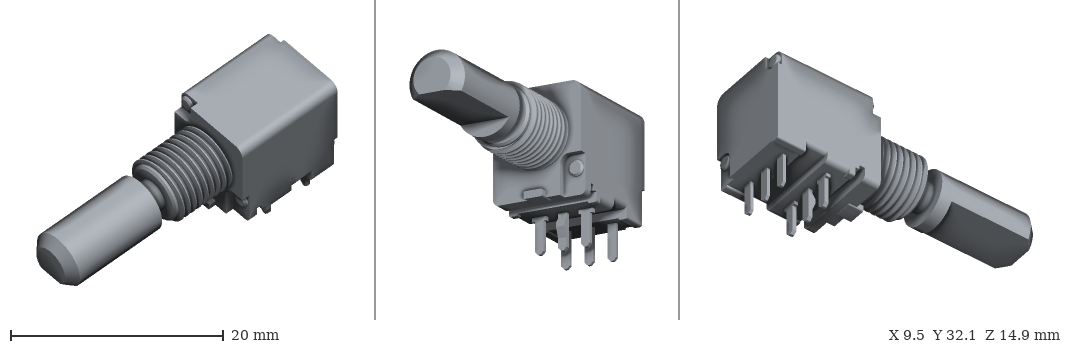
import cadquery as cq
import math


total_length = 32.1

body_width = 9.5
half_width = body_width / 2
body_top = 4.85
body_depth = 12.1
top_radius = 1.0

main_bottom = -6.3
leg_bottom = -6.5
channel_bottom = -5.5
slot_bottom = -4.98
main_radius = 0.6
channel_radius = 0.5
slot_front = 1.85
slot_back = 2.5
front_leg_start = 3.0
front_leg_end = 3.65
channel_start = 6.25
channel_end = 8.8

leg_width = 0.95
leg_radius = 0.22

rivet_x = 3.8
rivet_z = 3.65
rivet_radius = 0.8
rivet_chamfer = 0.2
rivet_height = 0.35
front_pocket_reach = 2.47
front_pocket_low = 2.28
front_pocket_depth = 0.9
rear_pocket_reach = 2.75
rear_pocket_low = 2.8
rear_pocket_depth = 0.45
pocket_radius = 1.0

tab_width = 2.05
tab_top = -5.62
tab_bottom = -6.4
tab_front = -0.8
tab_back = 0.9
tab_radius = 0.2

bushing_radius = 3.02
bushing_length = 7.0
bushing_chamfer = 0.22
thread_length = 6.52
thread_radius = 3.5
thread_pitch = 0.75
thread_start = 0.15
spare_turns = 2
crest_width = 0.13
root_width = 0.65
root_overlap = 0.05

neck_radius = 1.67
shaft_radius = 3.0
shaft_start = 8.57
shaft_tip = total_length - body_depth
shaft_chamfer = 1.0
collar_end = 9.95
flat_z = -1.48

pin_spacing = 2.5
pin_width = 0.93
pin_bottom = -10.0
pin_root = -4.8
pin_tip_chamfer = 0.32
front_row_y = 5.05
front_row_thickness = 0.45
rear_row_y = 10.0
rear_row_thickness = 0.35
shoulder_width = 1.5
shoulder_bottom = -6.7
bump_height = 0.4
bump_top = -6.75
bump_crest_top = -7.32
bump_crest_bottom = -7.7
bump_bottom = -8.75


def span_box(x_span, y_span, z_span):
    """Box between two limits on each axis."""
    size = [abs(span[1] - span[0]) for span in (x_span, y_span, z_span)]
    low = [min(span) for span in (x_span, y_span, z_span)]
    return cq.Workplane("XY").box(*size, centered=False).translate(tuple(low))


def cylinder(radius, y_start, y_end):
    """Round bar on the shaft axis; distances are measured forwards, along -Y."""
    return cq.Workplane("XZ", origin=(0, -y_start, 0)).circle(radius).extrude(y_end - y_start)


def body_slice(y_front, y_back, bottom, bottom_radius=None):
    """Full-width stretch of the housing with rounded top edges."""
    slice_ = span_box((-half_width, half_width), (y_front, y_back), (bottom, body_top))
    slice_ = slice_.edges("|Y and >Z").fillet(top_radius)
    if bottom_radius:
        slice_ = slice_.edges("|Y and <Z").fillet(bottom_radius)
    return slice_


def leg(side, y_front, y_back):
    """Foot below one side wall, rounded along its lower edges."""
    inner = side * (half_width - leg_width)
    foot = span_box((inner, side * half_width), (y_front, y_back), (leg_bottom, slot_bottom))
    return foot.edges("|Y and <Z").fillet(leg_radius)


def make_housing():
    housing = body_slice(0, slot_front, main_bottom, main_radius)
    housing = housing.union(body_slice(slot_front, slot_back, slot_bottom))
    housing = housing.union(body_slice(slot_back, front_leg_start, channel_bottom))
    housing = housing.union(body_slice(front_leg_start, channel_start, main_bottom, main_radius))
    housing = housing.union(body_slice(channel_start, channel_end, channel_bottom, channel_radius))
    housing = housing.union(body_slice(channel_end, body_depth, main_bottom, main_radius))
    for side in (-1, 1):
        housing = housing.union(leg(side, front_leg_start, front_leg_end))
        housing = housing.union(leg(side, channel_end, body_depth))
    return housing


def corner_pocket(reach, low, y_span):
    """Upper-left corner pocket from X = -reach outwards and from Z = low upwards."""
    pocket = span_box((-body_width, -reach), y_span, (low, body_width))
    return pocket.edges("|Y and >X and <Z").fillet(pocket_radius)


def rivet(y_base, direction):
    """Chamfered rivet head in the upper-left corner, raised along Y from y_base."""
    head = cq.Workplane("XZ", origin=(-rivet_x, y_base, rivet_z)).circle(rivet_radius)
    head = head.extrude(-direction * rivet_height)
    tip = ">Y" if direction > 0 else "<Y"
    return head.faces(tip).edges().chamfer(rivet_chamfer)


def opposite(solid):
    """Half turn about the shaft axis."""
    return solid.rotate((0, 0, 0), (0, 1, 0), 180)


def add_rivets(housing):
    rear_floor = body_depth - rear_pocket_depth
    pockets = (
        corner_pocket(front_pocket_reach, front_pocket_low, (0, front_pocket_depth)),
        corner_pocket(rear_pocket_reach, rear_pocket_low, (rear_floor, body_depth)),
    )
    heads = (
        rivet(front_pocket_depth, -1),
        rivet(rear_floor, 1),
    )
    for pocket, head in zip(pockets, heads):
        housing = housing.cut(pocket).cut(opposite(pocket))
        housing = housing.union(head).union(opposite(head))
    return housing


def make_tab():
    tab = span_box((-tab_width / 2, tab_width / 2), (tab_front, tab_back), (tab_bottom, tab_top))
    return tab.edges("|Y").fillet(tab_radius)


def make_thread():
    """Right-hand helical ridge, trimmed flat at both ends of the threaded length."""
    turns = math.ceil(thread_length / thread_pitch) + spare_turns
    root_radius = bushing_radius - root_overlap
    start = thread_start - thread_pitch
    helix = cq.Wire.makeHelix(thread_pitch, turns * thread_pitch, root_radius)
    ridge = (
        cq.Workplane("XZ")
        .polyline([
            (root_radius, -root_width / 2),
            (thread_radius, -crest_width / 2),
            (thread_radius, crest_width / 2),
            (root_radius, root_width / 2),
        ])
        .close()
        .sweep(cq.Workplane(helix), isFrenet=True)
        .translate((0, 0, start))
        .rotate((0, 0, 0), (1, 0, 0), 90)
    )
    return ridge.intersect(cylinder(2 * thread_radius, -root_overlap, thread_length))


def make_bushing():
    bushing = cylinder(bushing_radius, 0, bushing_length)
    bushing = bushing.faces("<Y").edges().chamfer(bushing_chamfer)
    return bushing.union(make_thread())


def make_shaft():
    neck = cylinder(neck_radius, 0, shaft_start)
    knob = cylinder(shaft_radius, shaft_start, shaft_tip)
    knob = knob.faces("<Y").edges().chamfer(shaft_chamfer)
    below_flat = span_box(
        (-shaft_radius, shaft_radius), (-shaft_tip, -collar_end), (-2 * shaft_radius, flat_z)
    )
    return neck.union(knob.cut(below_flat))


def make_pin(x, y, thickness):
    y_span = (y - thickness / 2, y + thickness / 2)
    pin = span_box((x - pin_width / 2, x + pin_width / 2), y_span, (pin_bottom, pin_root))
    return pin.edges("|Y and <Z").chamfer(pin_tip_chamfer)


def make_shoulder(x):
    y_span = (front_row_y - front_row_thickness / 2, front_row_y + front_row_thickness / 2)
    x_span = (x - shoulder_width / 2, x + shoulder_width / 2)
    return span_box(x_span, y_span, (shoulder_bottom, pin_root))


def make_bump():
    """Snap-in bump on the front of the middle terminal."""
    pin_face = front_row_y - front_row_thickness / 2
    crest = pin_face - bump_height
    return (
        cq.Workplane("YZ")
        .polyline([
            (front_row_y, bump_top),
            (pin_face, bump_top),
            (crest, bump_crest_top),
            (crest, bump_crest_bottom),
            (pin_face, bump_bottom),
            (front_row_y, bump_bottom),
        ])
        .close()
        .extrude(pin_width / 2, both=True)
    )


def make_terminals():
    terminals = make_bump()
    for x in (0, -pin_spacing, pin_spacing):
        terminals = terminals.union(make_pin(x, front_row_y, front_row_thickness))
        terminals = terminals.union(make_pin(x, rear_row_y, rear_row_thickness))
    for x in (-pin_spacing, pin_spacing):
        terminals = terminals.union(make_shoulder(x))
    return terminals


result = (
    add_rivets(make_housing())
    .union(make_tab())
    .union(make_terminals())
    .union(make_bushing())
    .union(make_shaft())
)